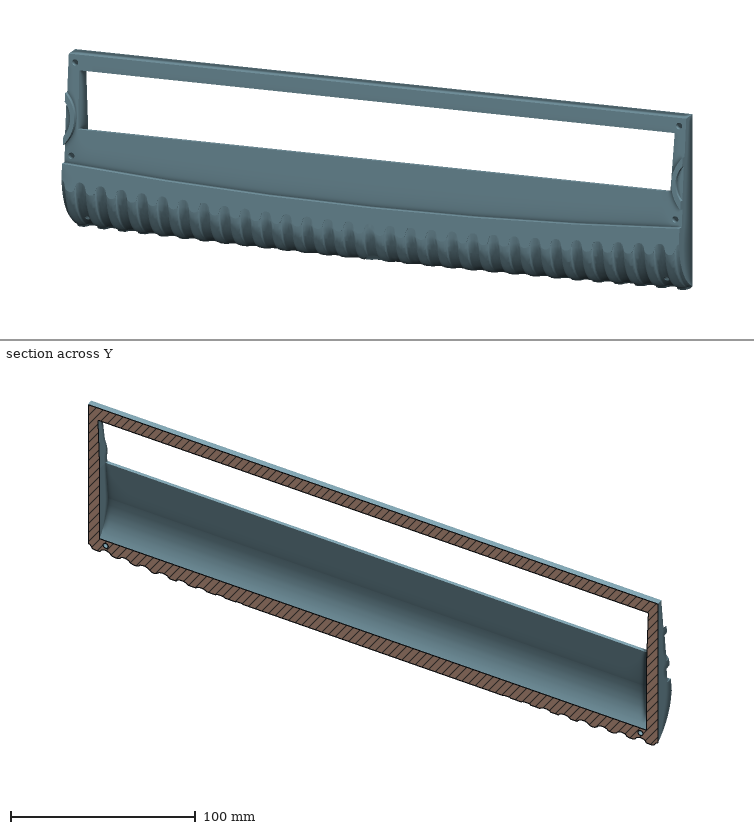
import cadquery as cq
import math

WIDTH = 358.05
HEIGHT = 98.25
HALF_WIDTH = WIDTH / 2
CLEARANCE = 5.0

TOP_DEPTH = 9.7
FRONT_SLOPE = 0.113
LEDGE_DEPTH = 3.48
LEDGE_END_Z = 39.0
LEDGE_SAG = 6.5

WINDOW_TOP_Z = HEIGHT - 8.5
WINDOW_BOTTOM_Z = 57.6
WINDOW_TOP_HALF_WIDTH = HALF_WIDTH - 6.3
WINDOW_BOTTOM_HALF_WIDTH = HALF_WIDTH - 7.4

PANEL_THICKNESS = 2.0
HOLLOW_HALF_WIDTH = WINDOW_BOTTOM_HALF_WIDTH
HOLLOW_ARC_TOP_Z = 32.0
HOLLOW_FLOOR_Z = 5.5
HOLLOW_ARC_RISE = 3.5

FLUTE_PITCH = 12.0
FLUTE_WIDTH = FLUTE_PITCH / 2
FLUTES_PER_SIDE = 30
FLUTE_ROUNDNESS = 3
STEPS_PER_FLUTE = 4
FLUTE_STEP = 0.3
GROOVE_TOP_Z = 24.0
CREST_TOP_Z = 18.0
GROOVE_FOOT_Y = -7.5
CREST_FOOT_Y = -9.5
GROOVE_FOOT_SHIFT = 7.5
CREST_FOOT_SHIFT = 4.5
FOOT_RISE = 1.5
GROOVE_BULGE = 5.2
CREST_BULGE = 4.5

CORNER_HOLE_DIAMETER = 3.5
CORNER_HOLE_DEPTH = 3.0
CORNER_HOLE_X = HALF_WIDTH - 3.9
CORNER_HOLE_HEIGHTS = (93.8, 42.8)

PAD_CENTRE_Z = 63.0
PAD_HALF_LENGTH = 14.4
PAD_WIDTH = 5.9
PAD_HEIGHT = 3.2
PAD_EMBEDDING = 1.5
RECESS_HALF_LENGTH = 9.5
RECESS_WIDTH = 3.5
RECESS_DEPTH = 2.6

DRAIN_DIAMETER = 2.9
DRAIN_X = 14 * FLUTE_PITCH
DRAIN_Z = 7.3
NOTCH_RADIUS = 8.5
NOTCH_TOP_Z = 4.4
NOTCH_FLOOR_Y = -9.0


def panel_y(z):
    """Y of the upper panel's front face at height z."""
    return -TOP_DEPTH - FRONT_SLOPE * (HEIGHT - z)


def lower_face_y(z):
    """Y of the front face below the ledge at height z."""
    return panel_y(z) - LEDGE_DEPTH


def end_share(x):
    """0 in the middle of the width, rising to 1 at the ends."""
    return (x / HALF_WIDTH) ** 2


def side_prism(outline, half_width):
    """Extrude a closed outline drawn in the YZ plane evenly to both sides of the middle."""
    return outline.close().extrude(half_width, both=True)


def cylinder_y(x, z, y_from, y_to, diameter):
    """Cylinder along Y."""
    start = cq.Vector(x, y_from, z)
    axis = cq.Vector(0, y_to - y_from, 0)
    return cq.Workplane(cq.Solid.makeCylinder(diameter / 2, abs(y_to - y_from), start, axis))


def make_body():
    """Wedge with the sloping panel, plus the thicker lower part under the arched ledge."""
    panel = side_prism(
        cq.Workplane("YZ").polyline([(0, 0), (0, HEIGHT), (panel_y(HEIGHT), HEIGHT), (panel_y(0), 0)]),
        HALF_WIDTH,
    )
    lower = side_prism(
        cq.Workplane("YZ").polyline(
            [(0, 0), (0, LEDGE_END_Z), (lower_face_y(LEDGE_END_Z), LEDGE_END_Z), (lower_face_y(0), 0)]
        ),
        HALF_WIDTH,
    )
    under_ledge = (
        cq.Workplane("XZ")
        .moveTo(-HALF_WIDTH, 0)
        .lineTo(-HALF_WIDTH, LEDGE_END_Z)
        .threePointArc((0, LEDGE_END_Z - LEDGE_SAG), (HALF_WIDTH, LEDGE_END_Z))
        .lineTo(HALF_WIDTH, 0)
        .close()
        .extrude(-lower_face_y(0))
    )
    return panel.union(lower.intersect(under_ledge))


def make_window():
    """Opening through the upper half, slightly narrower at its bottom."""
    return (
        cq.Workplane("XZ")
        .polyline(
            [
                (-WINDOW_BOTTOM_HALF_WIDTH, WINDOW_BOTTOM_Z),
                (WINDOW_BOTTOM_HALF_WIDTH, WINDOW_BOTTOM_Z),
                (WINDOW_TOP_HALF_WIDTH, WINDOW_TOP_Z),
                (-WINDOW_TOP_HALF_WIDTH, WINDOW_TOP_Z),
            ]
        )
        .close()
        .extrude(-panel_y(0) + CLEARANCE, both=True)
    )


def make_hollow():
    """Space behind the lower panel, joined to the window and open to the back."""
    return side_prism(
        cq.Workplane("YZ")
        .moveTo(CLEARANCE, WINDOW_BOTTOM_Z)
        .lineTo(panel_y(WINDOW_BOTTOM_Z) + PANEL_THICKNESS, WINDOW_BOTTOM_Z)
        .lineTo(panel_y(HOLLOW_ARC_TOP_Z) + PANEL_THICKNESS, HOLLOW_ARC_TOP_Z)
        .sagittaArc((0, HOLLOW_FLOOR_Z), -HOLLOW_ARC_RISE)
        .lineTo(CLEARANCE, HOLLOW_FLOOR_Z),
        HOLLOW_HALF_WIDTH,
    )


def blend(groove_value, crest_value, crest_share):
    """Value between that of a groove (share 0) and that of a crest (share 1)."""
    return groove_value + (crest_value - groove_value) * crest_share


def crest_share_at(x):
    """0 along the middle of a groove, 1/2 on the line between groove and crest, 1 along a crest."""
    to_groove = abs(x - FLUTE_PITCH * round(x / FLUTE_PITCH)) / FLUTE_WIDTH
    if to_groove <= 1 / 2:
        return (2 * to_groove) ** FLUTE_ROUNDNESS / 2
    return 1 - (2 - 2 * to_groove) ** FLUTE_ROUNDNESS / 2


def flute_section(x):
    """Outline of the space in front of the flutes at one place along the width."""
    share = end_share(x)
    crest_share = crest_share_at(x)
    top_z = blend(GROOVE_TOP_Z, CREST_TOP_Z, crest_share) + LEDGE_SAG * share
    foot_shift = blend(GROOVE_FOOT_SHIFT, CREST_FOOT_SHIFT, crest_share)
    foot_y = blend(GROOVE_FOOT_Y, CREST_FOOT_Y, crest_share) + foot_shift * share
    foot_z = FOOT_RISE * share
    outer_y = lower_face_y(0) - CLEARANCE
    return (
        cq.Workplane("YZ", origin=(x, 0, 0))
        .moveTo(outer_y, top_z)
        .lineTo(lower_face_y(top_z) + FLUTE_STEP, top_z)
        .sagittaArc((foot_y, foot_z), -blend(GROOVE_BULGE, CREST_BULGE, crest_share))
        .lineTo(foot_y + CLEARANCE, -CLEARANCE)
        .lineTo(outer_y, -CLEARANCE)
        .close()
        .wires()
        .val()
    )


def make_flute_cutter(index):
    """Smooth body in front of one groove (even index) or one crest (odd index)."""
    start = (index - 1 / 2) * FLUTE_WIDTH
    step = FLUTE_WIDTH / STEPS_PER_FLUTE
    sections = [flute_section(start + i * step) for i in range(STEPS_PER_FLUTE + 1)]
    return cq.Solid.makeLoft(sections)


def side_segment(side, half_length, width, y_from, y_to):
    """Circle segment with its chord on a side edge, laid on the sloping panel.

    y_from and y_to are measured square to the panel, positive towards the back.
    """
    edge = side * HALF_WIDTH
    tilt = math.degrees(math.atan(FRONT_SLOPE))
    segment = (
        cq.Workplane("XZ", origin=(0, y_from, 0))
        .moveTo(edge, -half_length)
        .threePointArc((edge - side * width, 0), (edge, half_length))
        .close()
        .extrude(y_from - y_to)
    )
    return segment.rotate((0, 0, 0), (1, 0, 0), -tilt).translate((0, panel_y(PAD_CENTRE_Z), PAD_CENTRE_Z))


def make_pad(side):
    """Raised pad at one side edge, embedded in the panel and hollowed towards the side."""
    pad = side_segment(side, PAD_HALF_LENGTH, PAD_WIDTH, PAD_EMBEDDING, -PAD_HEIGHT)
    recess = side_segment(side, RECESS_HALF_LENGTH, RECESS_WIDTH, RECESS_DEPTH - PAD_HEIGHT, -2 * PAD_HEIGHT)
    return pad.cut(recess)


def make_notch():
    """Round notch with a flat floor at the middle of the bottom edge."""
    return cylinder_y(
        0, NOTCH_TOP_Z - NOTCH_RADIUS, NOTCH_FLOOR_Y, lower_face_y(0) - CLEARANCE, 2 * NOTCH_RADIUS
    )


def make_corner_hole(side, z):
    """Shallow blind hole in the panel's front face."""
    return cylinder_y(
        side * CORNER_HOLE_X, z, panel_y(z) + CORNER_HOLE_DEPTH, panel_y(z) - CLEARANCE, CORNER_HOLE_DIAMETER
    )


def make_drain(side):
    """Hole from the hollow out through a groove near one end."""
    return cylinder_y(side * DRAIN_X, DRAIN_Z, CLEARANCE, lower_face_y(0) - CLEARANCE, DRAIN_DIAMETER)


plain_body = make_body().cut(make_window()).cut(make_hollow()).cut(make_notch())
for side in (-1, 1):
    plain_body = plain_body.union(make_pad(side)).cut(make_drain(side))
    for hole_z in CORNER_HOLE_HEIGHTS:
        plain_body = plain_body.cut(make_corner_hole(side, hole_z))

right_half = plain_body.intersect(
    cq.Workplane("XY").box(WIDTH, WIDTH, WIDTH).translate((HALF_WIDTH, 0, 0))
)
flute_cutters = [make_flute_cutter(i) for i in range(FLUTES_PER_SIDE + 1)]
fluted_half = cq.Workplane(right_half.val().cut(*flute_cutters))
result = fluted_half.union(fluted_half.mirror("YZ")).solids()